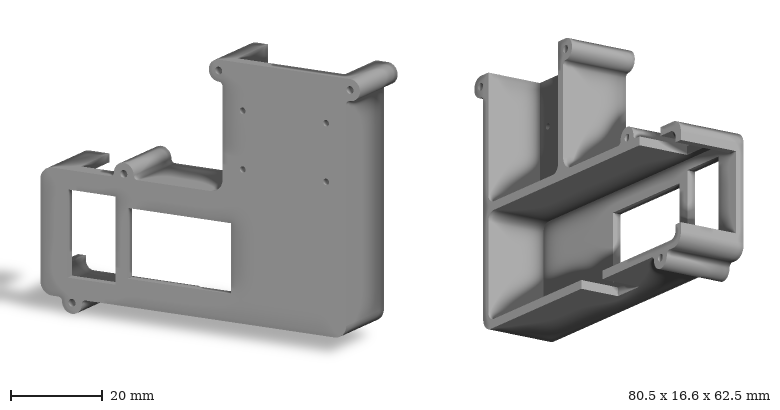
import cadquery as cq
import math

depth = 16.6
height = 62.5
wall = 2.0

base_bottom = 3.5
base_top = 32.45
tower_left = 45.9
tower_right = 77.0
corner_radius = 3.0
inner_radius = 2.0

lug_radius = 2.5
lug_blend = 1.0
lug_hole = 1.8
lug_offset = 1.0
lower_lug_x = 8.0
upper_lug_x = 21.0
tower_lug_z = height - lug_radius
lug_centres = [
    (lower_lug_x, base_bottom - lug_offset),
    (upper_lug_x, base_top + lug_offset),
    (tower_left - lug_offset, tower_lug_z),
    (tower_right + lug_offset, tower_lug_z),
]

base_floor = 2.0
tower_floor = 3.0

board_hole = 1.45
board_hole_xs = (50.95, 72.0)
board_hole_zs = (38.4, 51.7)

switch_window = (6.85, 18.9, 8.05, 28.0)
display_window = (22.0, 48.0, 9.8, 25.85)

side_notch_bottom = 8.6
side_notch_top = 27.45
top_notch_left = 7.9
top_notch_right = 16.1
top_notch_start = 4.0
bottom_notch_left = 30.6
bottom_notch_right = 38.8
bottom_notch_start = 6.9


def block(left, right, bottom, top, front=0.0, back=depth):
    """Box spanning the given limits in X, Z and Y."""
    size = (right - left, back - front, top - bottom)
    return cq.Workplane("XY").box(*size, centered=False).translate((left, front, bottom))


def cylinders(centres, radius):
    """Cylinders along Y through the full depth."""
    return cq.Workplane("XZ").pushPoints(centres).circle(radius).extrude(-depth)


def round_edges(body, positions, radius):
    """Fillet the edges along Y that pass through the given (x, z) positions."""
    tolerance = 0.04
    edges = body.edges("|Y")
    picked = []
    for x, z in positions:
        picked += edges.edges(cq.selectors.BoxSelector(
            (x - tolerance, 0, z - tolerance), (x + tolerance, depth, z + tolerance))).vals()
    return body.newObject(picked).fillet(radius)


def outer_body():
    """Solid outline with lugs, rounded corners and blended inside corners."""
    base = block(0, tower_right, base_bottom, base_top)
    tower = block(tower_left, tower_right, base_bottom, height)
    lug_bar = block(tower_left - lug_offset, tower_right + lug_offset, tower_lug_z, height)
    body = base.union(tower).union(lug_bar)
    body = round_edges(body, [
        (0, base_bottom),
        (0, base_top),
        (tower_left, base_top),
        (tower_right, base_bottom),
    ], corner_radius)

    body = body.union(cylinders(lug_centres, lug_radius))
    half_chord = math.sqrt(lug_radius**2 - lug_offset**2)
    inside_corners = [
        (tower_left, tower_lug_z - half_chord),
        (tower_right, tower_lug_z - half_chord),
    ]
    for side in (-half_chord, half_chord):
        inside_corners.append((lower_lug_x + side, base_bottom))
        inside_corners.append((upper_lug_x + side, base_top))
    return round_edges(body, inside_corners, lug_blend)


def cut_compartments(body):
    """Hollow the base and the tower, leaving a wall between them."""
    base_room = block(wall, tower_right - wall, base_bottom + wall, base_top - wall, base_floor)
    base_room = base_room.edges("|Y").fillet(inner_radius)
    tower_room = block(tower_left + wall, tower_right - wall, base_top, height, tower_floor)
    tower_room = tower_room.edges("|Y and <Z").fillet(inner_radius)
    return body.cut(base_room).cut(tower_room)


def cut_openings(body):
    """Floor windows and the notches in the outer walls."""
    for window in (switch_window, display_window):
        body = body.cut(block(*window, back=base_floor))
    middle = (base_bottom + base_top) / 2
    side_notch = block(0, wall + inner_radius, side_notch_bottom, side_notch_top, base_floor)
    top_notch = block(top_notch_left, top_notch_right, middle, base_top, top_notch_start)
    bottom_notch = block(bottom_notch_left, bottom_notch_right, base_bottom, middle, bottom_notch_start)
    return body.cut(side_notch).cut(top_notch).cut(bottom_notch)


def drill_holes(body):
    """Screw holes along the lugs and board holes through the tower floor."""
    board_centres = [(x, z) for x in board_hole_xs for z in board_hole_zs]
    body = body.cut(cylinders(lug_centres, lug_hole / 2))
    return body.cut(cylinders(board_centres, board_hole / 2))


result = drill_holes(cut_openings(cut_compartments(outer_body())))